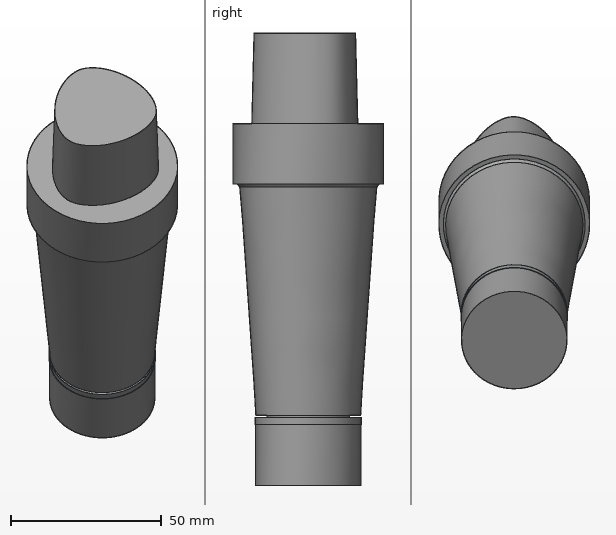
import cadquery as cq
import math


shank_length = 30.0
shank_base_width = 35.2
shank_taper = 1 / 20
shank_eccentricity = 1.15
lobe_count = 3
lobe_direction = math.radians(-90)
section_points = 36

flange_diameter = 50.0
flange_thickness = 20.0

relief_height = 1.0
relief_diameter = 47.0
body_top_diameter = 45.5
body_bottom_diameter = 34.8
body_bottom_z = -96.7

groove_diameter = 27.4
groove_height = 0.6
ring_diameter = 35.3
ring_height = 2.4
spigot_diameter = 35.0
overall_length = 150.0

flange_bottom_z = -flange_thickness
body_top_z = flange_bottom_z - relief_height
groove_bottom_z = body_bottom_z - groove_height
ring_bottom_z = groove_bottom_z - ring_height
spigot_bottom_z = shank_length - overall_length


def lobed_point(width, angle):
    """Point of a constant-width lobed curve whose outward normal is at the given angle."""
    phase = lobe_count * (angle - lobe_direction)
    support = width / 2 + shank_eccentricity * math.cos(phase)
    slope = -lobe_count * shank_eccentricity * math.sin(phase)
    x = support * math.cos(angle) - slope * math.sin(angle)
    y = support * math.sin(angle) + slope * math.cos(angle)
    return (x, y)


def lobed_section(workplane, width):
    """Closed smooth lobed outline drawn on the workplane."""
    step = 2 * math.pi / section_points
    points = [lobed_point(width, i * step) for i in range(section_points)]
    return workplane.spline(points, periodic=True).close()


def make_shank():
    """Lobed shank tapering upward from the flange face."""
    top_width = shank_base_width - shank_taper * shank_length
    base = lobed_section(cq.Workplane("XY"), shank_base_width)
    return lobed_section(base.workplane(offset=shank_length), top_width).loft(ruled=True)


def make_turned_body():
    """Everything below the shank, revolved about Z from one half profile."""
    return (
        cq.Workplane("XZ")
        .lineTo(flange_diameter / 2, 0)
        .lineTo(flange_diameter / 2, flange_bottom_z)
        .lineTo(relief_diameter / 2, flange_bottom_z)
        .lineTo(body_top_diameter / 2, body_top_z)
        .lineTo(body_bottom_diameter / 2, body_bottom_z)
        .lineTo(groove_diameter / 2, body_bottom_z)
        .lineTo(groove_diameter / 2, groove_bottom_z)
        .lineTo(ring_diameter / 2, groove_bottom_z)
        .lineTo(ring_diameter / 2, ring_bottom_z)
        .lineTo(spigot_diameter / 2, ring_bottom_z)
        .lineTo(spigot_diameter / 2, spigot_bottom_z)
        .lineTo(0, spigot_bottom_z)
        .close()
        .revolve(360, (0, 0, 0), (0, 1, 0))
    )


result = make_turned_body().union(make_shank())